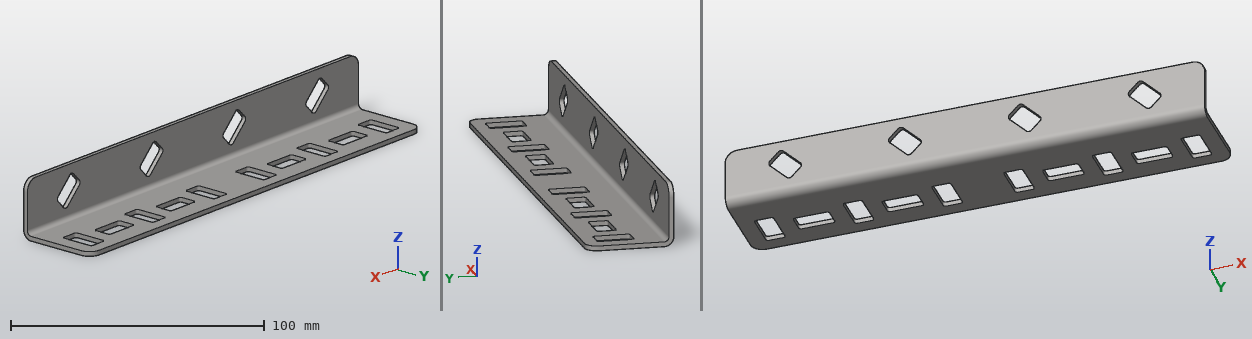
import cadquery as cq

length = 200.0
base_depth = 35.0
wall_height = 25.0
thickness = 2.0

bend_inner_radius = 2.0
bend_outer_radius = bend_inner_radius + thickness
corner_radius = 5.0

base_slot_length = 15.0
wall_slot_length = 13.0
slot_width = 8.0
base_slot_corner_radius = 1.0
wall_slot_corner_radius = 1.5
cutter_depth = 4 * thickness

base_slots_per_half = 5
base_slot_end_margin = 11.0
base_slot_span = 74.0
base_slot_pitch = base_slot_span / (base_slots_per_half - 1)
base_slot_edge_margin = 13.2

wall_slot_count = 4
wall_slot_pitch = length / wall_slot_count
wall_slot_height = 14.0
wall_slot_tilt = 45.0


def bent_sheet():
    """L-shaped section, extruded along the length and centred on X = 0."""
    section = (
        cq.Workplane("YZ")
        .polyline([(0, 0), (base_depth, 0), (base_depth, thickness), (thickness, thickness),
                   (thickness, wall_height), (0, wall_height)])
        .close()
    )
    sheet = section.extrude(length / 2, both=True)
    sheet = sheet.edges(cq.NearestToPointSelector((0, 0, 0))).fillet(bend_outer_radius)
    inner_bend = cq.NearestToPointSelector((0, thickness, thickness))
    return sheet.edges(inner_bend).fillet(bend_inner_radius)


def round_free_corners(sheet):
    """Round the two back corners of the base and the two top corners of the wall."""
    sheet = sheet.faces(">Y").edges("|Z").fillet(corner_radius)
    return sheet.faces(">Z").edges("|Y").fillet(corner_radius)


def slot_cutter(slot_length, slot_corner_radius):
    """Slot along X, centred on the origin and deep enough to pass through the sheet."""
    cutter = cq.Workplane("XY").box(slot_length, slot_width, cutter_depth)
    return cutter.edges("|Z").fillet(slot_corner_radius)


def cut_base_slots(sheet):
    """The end slots run across the base; every second slot runs along it."""
    slot_y = base_depth - base_slot_edge_margin
    for i in range(base_slots_per_half):
        slot_x = length / 2 - base_slot_end_margin - i * base_slot_pitch
        turn = 90.0 if i % 2 == 0 else 0.0
        cutter = slot_cutter(base_slot_length, base_slot_corner_radius).rotate((0, 0, 0), (0, 0, 1), turn)
        for side in (-1, 1):
            sheet = sheet.cut(cutter.translate((side * slot_x, slot_y, thickness / 2)))
    return sheet


def cut_wall_slots(sheet):
    """Each wall slot slopes down towards +X."""
    upright = slot_cutter(wall_slot_length, wall_slot_corner_radius).rotate((0, 0, 0), (1, 0, 0), 90)
    cutter = upright.rotate((0, 0, 0), (0, 1, 0), wall_slot_tilt)
    for i in range(wall_slot_count):
        slot_x = (i - (wall_slot_count - 1) / 2) * wall_slot_pitch
        sheet = sheet.cut(cutter.translate((slot_x, thickness / 2, wall_slot_height)))
    return sheet


bracket = round_free_corners(bent_sheet())
bracket = cut_base_slots(bracket)
result = cut_wall_slots(bracket)